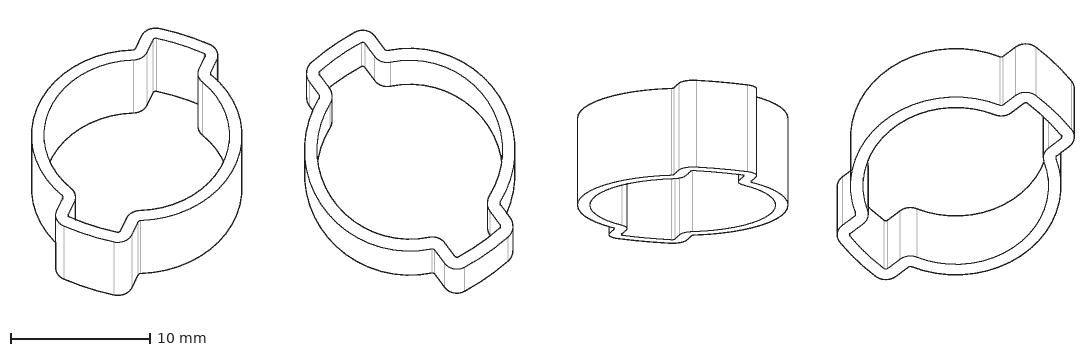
import cadquery as cq
import math

ring_outer_diameter = 15.1
overall_length = 19.0
band_width = 6.5
wall = 0.9
ear_outer_width = 5.8
end_face_radius = 17.0
inside_bend_radius = 0.2

outside_bend_radius = inside_bend_radius + wall
ring_outer_radius = ring_outer_diameter / 2


def filled_outline(inset, root_radius, corner_radius):
    """Solid ring-with-two-ears shape, set in from the outer surface by `inset`."""
    ring_radius = ring_outer_radius - inset
    half_width = ear_outer_width / 2 - inset
    end_y = overall_length / 2 - inset
    bow_radius = end_face_radius - inset
    corner_y = end_y - bow_radius + math.sqrt(bow_radius**2 - half_width**2)
    root_y = math.sqrt(ring_radius**2 - half_width**2)

    outline = (
        cq.Workplane("XY")
        .moveTo(half_width, root_y)
        .lineTo(half_width, corner_y)
        .threePointArc((0, end_y), (-half_width, corner_y))
        .lineTo(-half_width, root_y)
        .threePointArc((-ring_radius, 0), (-half_width, -root_y))
        .lineTo(-half_width, -corner_y)
        .threePointArc((0, -end_y), (half_width, -corner_y))
        .lineTo(half_width, -root_y)
        .threePointArc((ring_radius, 0), (half_width, root_y))
        .close()
        .extrude(band_width)
    )

    between_y = (root_y + corner_y) / 2
    return (
        outline
        .edges("|Z")
        .edges(cq.selectors.BoxSelector(
            (-ring_radius, -between_y, 0), (ring_radius, between_y, band_width)))
        .fillet(root_radius)
        .edges("|Z")
        .edges(cq.selectors.BoxSelector(
            (-ring_radius, between_y, 0), (ring_radius, end_y, band_width))
            + cq.selectors.BoxSelector(
            (-ring_radius, -end_y, 0), (ring_radius, -between_y, band_width)))
        .fillet(corner_radius)
    )


outer = filled_outline(0, inside_bend_radius, outside_bend_radius)
inner = filled_outline(wall, outside_bend_radius, inside_bend_radius)

result = outer.cut(inner)